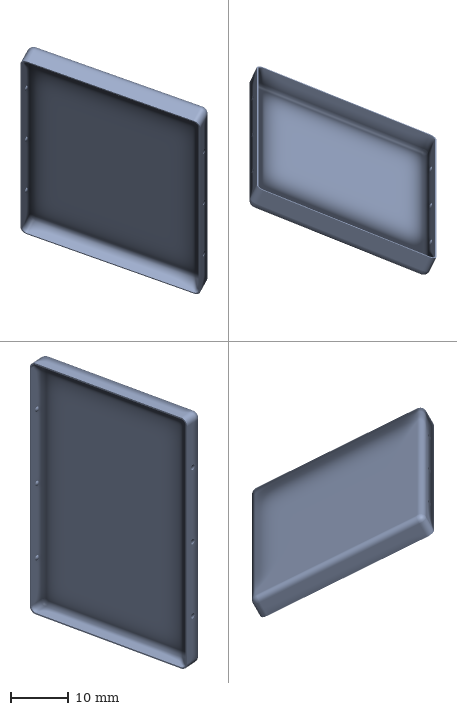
import cadquery as cq
import math

width = 34.5
depth = 4.0
height = 50.7
wall = 0.3
corner_radius = 1.3
back_radius = 1.1

dimple_radius = 0.5
dimple_depth = 0.25
dimple_spacing = 15.0
dimple_from_rim = 1.65
dimples_per_side = 3


def rounded_block(size_x, size_z, length, upright_radius, rear_radius):
    """Block from the open rim (y = 0) to y = length with its corners and rear edge rounded."""
    block = cq.Workplane("XY").box(size_x, length, size_z, centered=(True, False, True))
    return block.edges("|Y").fillet(upright_radius).faces(">Y").edges().fillet(rear_radius)


def inward_cap(side, base_x, z):
    """Spherical cap pointing inward from a flat base on the plane |x| = base_x."""
    ball_radius = (dimple_radius**2 + dimple_depth**2) / (2 * dimple_depth)
    middle_depth = dimple_depth / 2
    middle_radius = math.sqrt(ball_radius**2 - (ball_radius - middle_depth) ** 2)
    profile = (
        cq.Workplane("XY")
        .moveTo(side * base_x, 0)
        .lineTo(side * base_x, dimple_radius)
        .threePointArc(
            (side * (base_x - middle_depth), middle_radius),
            (side * (base_x - dimple_depth), 0),
        )
        .close()
    )
    cap = profile.revolve(360, (0, 0, 0), (1, 0, 0))
    return cap.translate((0, dimple_from_rim, z))


outer = rounded_block(width, height, depth, corner_radius, back_radius)
cavity = rounded_block(
    width - 2 * wall, height - 2 * wall, depth - wall, corner_radius - wall, back_radius - wall
)
tray = outer.cut(cavity)

for side in (-1, 1):
    for row in range(dimples_per_side):
        z = (row - (dimples_per_side - 1) / 2) * dimple_spacing
        tray = tray.union(inward_cap(side, width / 2 - wall, z))
        tray = tray.cut(inward_cap(side, width / 2, z))

result = tray